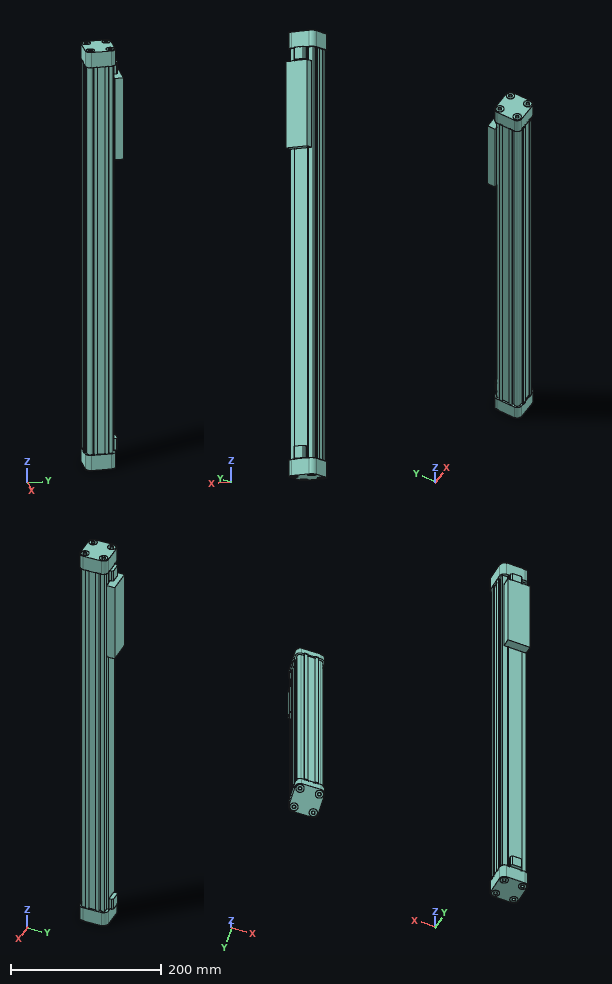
import cadquery as cq
import math

body_length = 600.0
cap_length = 22.0
cap_width = 41.0
screw_pitch = 27.0
screw_offset = screw_pitch / 2
cap_corner_radius = cap_width / 2 - screw_offset

boss_diameter = 11.0
boss_height = 0.4
thread_diameter = 5.0
core_diameter = 4.13
thread_depth = 15.0
mouth_angle = 90.0

profile_length = body_length - 2 * cap_length
bead_offset = 13.8
bead_diameter = 8.57
bead_reach = bead_offset + bead_diameter / 2
side_rail_face = cap_width / 2
bottom_rail_lip = 1.0
bottom_rail_face = side_rail_face + bottom_rail_lip
rail_half_width = 10.0
rail_taper = math.radians(30)
side_groove_floor = 16.5
slot_width = 10.0
slot_taper = math.radians(48)
slot_depth = 2.5
shoulder = 16.5
top_face = 19.0

carriage_width = 33.0
carriage_length = 117.0
carriage_top = 31.0
carriage_end_distance = 100.0

clamp_width = 17.0
clamp_length = 16.5
clamp_top = 25.0
clamp_chamfer = 2.0


def profile_bar(points):
    """Prism over the whole profile length."""
    return cq.Workplane("XY").polyline(points).close().extrude(profile_length / 2, both=True)


def profile_box(x_min, x_max, y_min, y_max):
    return profile_bar([(x_min, y_min), (x_max, y_min), (x_max, y_max), (x_min, y_max)])


def dovetail_rail(face, root, lip=0):
    """Rail on the -Y side with a dovetail slot along its middle; it narrows from its lip to its root."""
    taper_start = face - lip
    root_half_width = rail_half_width - (taper_start - root) * math.tan(rail_taper)
    rail = profile_bar([
        (-rail_half_width, -taper_start),
        (rail_half_width, -taper_start),
        (root_half_width, -root),
        (root_half_width, 0),
        (-root_half_width, 0),
        (-root_half_width, -root),
    ])
    if lip > 0:
        lip_bar = profile_box(-rail_half_width, rail_half_width, -face, -taper_start)
        rail = rail.union(lip_bar)
    slot_floor_half_width = slot_width / 2 + slot_depth * math.tan(slot_taper)
    slot = profile_bar([
        (-slot_width / 2, -face),
        (slot_width / 2, -face),
        (slot_floor_half_width, -face + slot_depth),
        (-slot_floor_half_width, -face + slot_depth),
    ])
    return rail.cut(slot)


def make_profile():
    profile = profile_box(-side_groove_floor, side_groove_floor, -bead_offset, bead_offset)
    profile = profile.union(profile_box(-bead_offset, bead_offset, -bead_reach, bead_reach))
    beads = (
        cq.Workplane("XY")
        .rect(2 * bead_offset, 2 * bead_offset, forConstruction=True)
        .vertices()
        .circle(bead_diameter / 2)
        .extrude(profile_length / 2, both=True)
    )
    above_shoulder = profile_box(-cap_width, cap_width, shoulder, top_face)
    profile = profile.union(beads).cut(above_shoulder)
    profile = profile.union(dovetail_rail(bottom_rail_face, bead_reach, bottom_rail_lip))
    for angle in (-90, 90):
        side_rail = dovetail_rail(side_rail_face, side_groove_floor)
        profile = profile.union(side_rail.rotate((0, 0, 0), (0, 0, 1), angle))
    return profile.union(profile_box(-rail_half_width, rail_half_width, 0, top_face))


def make_carriage():
    height = carriage_top - top_face
    middle_z = body_length / 2 - carriage_end_distance
    return cq.Workplane("XY").box(carriage_width, height, carriage_length).translate(
        (0, top_face + height / 2, middle_z)
    )


def make_clamp(side):
    """Chamfered block over the end of the profile; side is +1 at the upper end, -1 at the lower."""
    height = clamp_top - top_face
    clamp = cq.Workplane("XY").box(clamp_width, height, clamp_length)
    clamp = clamp.faces(">Y").edges("|Z").chamfer(clamp_chamfer)
    middle_z = side * (profile_length - clamp_length) / 2
    return clamp.translate((0, top_face + height / 2, middle_z))


def make_cap():
    """Upper end cap with a raised, tapped boss at each corner."""
    cap = (
        cq.Workplane("XY")
        .workplane(offset=profile_length / 2)
        .rect(cap_width, cap_width)
        .extrude(cap_length)
        .edges("|Z")
        .fillet(cap_corner_radius)
    )
    cap = (
        cap.faces(">Z").workplane()
        .rect(screw_pitch, screw_pitch, forConstruction=True)
        .vertices()
        .circle(boss_diameter / 2)
        .extrude(boss_height)
    )
    return (
        cap.faces(">Z").workplane(origin=(0, 0, 0))
        .rect(screw_pitch, screw_pitch, forConstruction=True)
        .vertices()
        .cskHole(core_diameter, thread_diameter, mouth_angle, thread_depth)
    )


barrel = make_profile().union(make_carriage())
for end in (1, -1):
    barrel = barrel.union(make_clamp(end))

upper_cap = make_cap()
lower_cap = upper_cap.mirror("XY")

result = cq.Compound.makeCompound([barrel.val(), upper_cap.val(), lower_cap.val()])